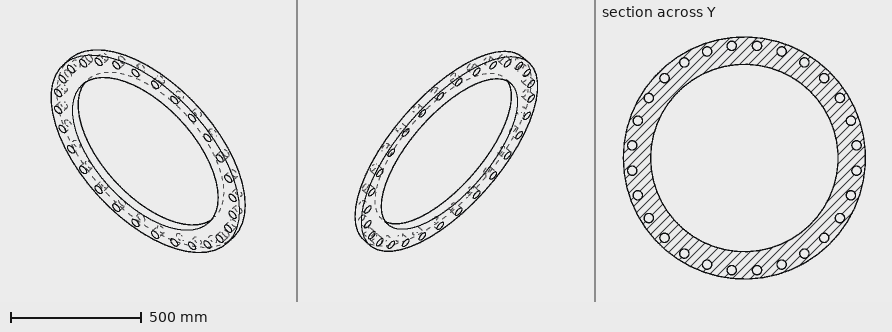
import cadquery as cq

outer_diameter = 927.1
bore_diameter = 716.03
thickness = 35.51

bolt_hole_count = 28
bolt_hole_diameter = 34.92
bolt_circle_diameter = 863.6
hole_pitch_angle = 360 / bolt_hole_count
first_hole_angle = hole_pitch_angle / 2


def ring_plate():
    """Plain annular plate with its +Y face on the XZ plane."""
    return (
        cq.Workplane("XZ")
        .circle(outer_diameter / 2)
        .circle(bore_diameter / 2)
        .extrude(thickness)
    )


def bolt_holes():
    """Cylinders that cut the through holes on the bolt circle."""
    return (
        cq.Workplane("XZ")
        .polarArray(bolt_circle_diameter / 2, first_hole_angle, 360, bolt_hole_count)
        .circle(bolt_hole_diameter / 2)
        .extrude(thickness)
    )


result = ring_plate().cut(bolt_holes())